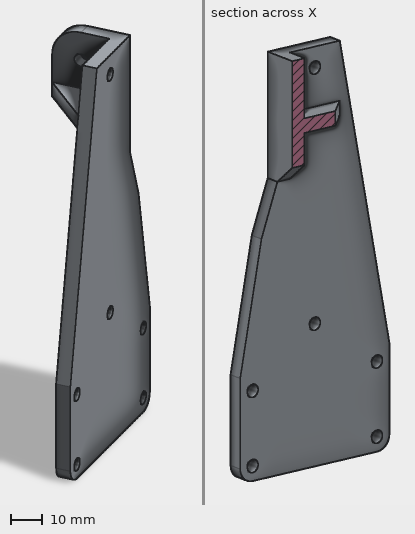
import cadquery as cq

height = 139.5
width = 60.0
depth = 25.0
thickness = 5.0
hole_diameter = 4.3

half_width = width / 2
corner_radius = thickness
shoulder_z = 35.2
top_half_width = 10.0
kink_z = 79.8
taper = (half_width - top_half_width) / (height - shoulder_z)
kink_y = half_width - taper * (kink_z - shoulder_z)

reach = depth - thickness
ear_inner_y = top_half_width
ear_outer_y = ear_inner_y + thickness
ear_radius = reach / 2
ear_root_z = 97.5

shelf_top_z = height - reach
shelf_bottom_z = shelf_top_z - thickness

mount_y = half_width - corner_radius
lower_mount_z = corner_radius
upper_mount_z = lower_mount_z + mount_y
center_hole_z = 47.4
top_hole_z = 132.5
plate_holes = [(side * mount_y, z) for side in (-1, 1) for z in (lower_mount_z, upper_mount_z)]
plate_holes += [(0, center_hole_z), (0, top_hole_z)]


def make_plate():
    """Tapered plate whose front face lies on X = 0."""
    outline = [
        (-half_width, 0),
        (half_width, 0),
        (half_width, shoulder_z),
        (kink_y, kink_z),
        (ear_outer_y, ear_root_z),
        (ear_outer_y, height),
        (-top_half_width, height),
        (-half_width, shoulder_z),
    ]
    plate = cq.Workplane("YZ").polyline(outline).close().extrude(thickness)
    plate = plate.faces("<Z").edges("|X").fillet(corner_radius)
    holes = cq.Workplane("YZ").pushPoints(plate_holes).circle(hole_diameter / 2).extrude(thickness)
    return plate.cut(holes)


def make_ear():
    """Ear with a rounded outer top corner and a hole concentric with it."""
    outline = [
        (thickness, ear_root_z),
        (0, ear_root_z),
        (-reach, shelf_bottom_z),
        (-reach, height),
        (thickness, height),
    ]
    plane = cq.Workplane("XZ", origin=(0, ear_outer_y, 0))
    ear = plane.polyline(outline).close().extrude(thickness)
    ear = ear.faces("<X").edges(">Z").fillet(ear_radius)
    hole = plane.center(-reach + ear_radius, height - ear_radius).circle(hole_diameter / 2).extrude(thickness)
    return ear.cut(hole)


def make_shelf():
    """Right-triangle shelf in the corner between plate and ear."""
    corners = [(0, ear_inner_y), (-reach, ear_inner_y), (0, ear_inner_y - reach)]
    return cq.Workplane("XY", origin=(0, 0, shelf_bottom_z)).polyline(corners).close().extrude(thickness)


result = make_plate().union(make_ear()).union(make_shelf())